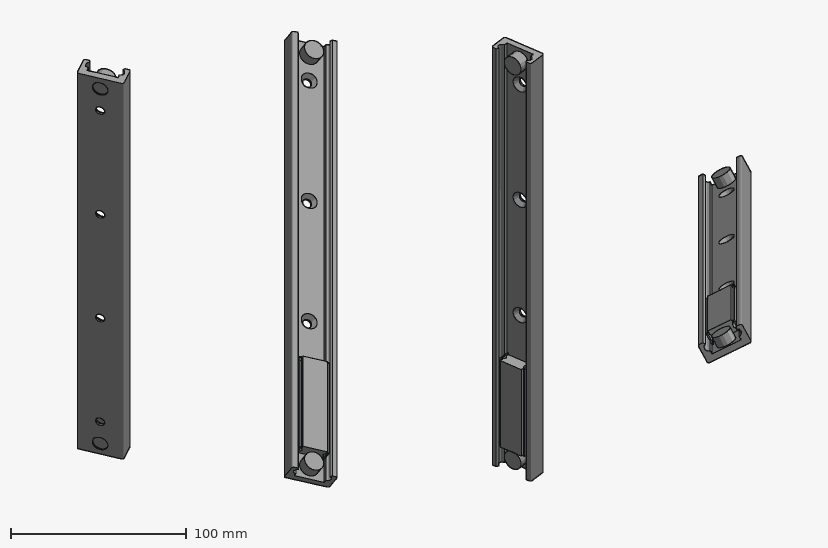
import cadquery as cq

rail_length = 290.0
rail_width = 28.0
rail_depth = 12.5
rail_floor = 4.0
edge_radius = 1.2
channel_half_width = 9.3

raceway_y = 8.7
rail_raceway_half_height = 2.3
rail_raceway_bottom = 11.5
lip_half_width = 10.0
lip_top_half_width = 10.7

hole_diameter = 5.5
countersink_diameter = 10.0
hole_straight_depth = 1.2
hole_pitch = 80.0
hole_count = 4

stop_shank_diameter = 9.3
stop_head_diameter = 12.0
stop_head_height = 7.0
stop_shank_recess = 1.0
stop_end_distance = 8.0

slider_length = 60.0
slider_bottom_z = 15.0
slider_half_width = 7.5
slider_front_y = 5.2
slider_back_y = 12.8
slider_raceway_half_height = 1.7
slider_raceway_bottom = 6.7

cage_thickness = 1.0
cage_middle_x = 8.7
cage_back_y = 12.0

stop_heights = (stop_end_distance, rail_length - stop_end_distance)


def cylinder_along_y(diameter, z, start_y, end_y):
    """Cylinder on the rail centre line, from start_y to end_y."""
    plane = cq.Plane(origin=(0, start_y, z), xDir=(1, 0, 0), normal=(0, 1, 0))
    return cq.Workplane(plane).circle(diameter / 2).extrude(end_y - start_y)


def make_hole_cutter(hole_z):
    """Plain bore that widens towards the channel floor."""
    bore = cylinder_along_y(hole_diameter, hole_z, 0, rail_floor)
    countersink = cq.Solid.makeCone(
        hole_diameter / 2,
        countersink_diameter / 2,
        rail_floor - hole_straight_depth,
        pnt=cq.Vector(0, hole_straight_depth, hole_z),
        dir=cq.Vector(0, 1, 0),
    )
    return bore.union(cq.Workplane(countersink))


def make_rail():
    half_width = rail_width / 2
    half_block = (
        cq.Workplane("XY")
        .moveTo(0, 0)
        .lineTo(half_width, 0)
        .lineTo(half_width, rail_depth)
        .lineTo(lip_top_half_width, rail_depth)
        .lineTo(lip_half_width, raceway_y + rail_raceway_half_height)
        .threePointArc(
            (rail_raceway_bottom, raceway_y),
            (channel_half_width, raceway_y - rail_raceway_half_height),
        )
        .lineTo(channel_half_width, rail_floor)
        .lineTo(0, rail_floor)
        .close()
        .extrude(rail_length)
    )
    half_rail = half_block.edges("|Z and >X").fillet(edge_radius)
    rail = half_rail.union(half_rail.mirror("YZ"))

    first_hole_z = (rail_length - hole_pitch * (hole_count - 1)) / 2
    for index in range(hole_count):
        hole_z = first_hole_z + index * hole_pitch
        rail = rail.cut(make_hole_cutter(hole_z))
    for stop_z in stop_heights:
        rail = rail.cut(cylinder_along_y(stop_shank_diameter, stop_z, 0, rail_floor))
    return rail


def make_stop(stop_z):
    shank = cylinder_along_y(stop_shank_diameter, stop_z, stop_shank_recess, rail_floor)
    head = cylinder_along_y(stop_head_diameter, stop_z, rail_floor, rail_floor + stop_head_height)
    return shank.union(head)


def make_slider():
    raceway_top = raceway_y + slider_raceway_half_height
    raceway_base = raceway_y - slider_raceway_half_height
    return (
        cq.Workplane("XY", origin=(0, 0, slider_bottom_z))
        .moveTo(-slider_half_width, slider_front_y)
        .lineTo(slider_half_width, slider_front_y)
        .lineTo(slider_half_width, raceway_base)
        .threePointArc((slider_raceway_bottom, raceway_y), (slider_half_width, raceway_top))
        .lineTo(slider_half_width, slider_back_y)
        .lineTo(-slider_half_width, slider_back_y)
        .lineTo(-slider_half_width, raceway_top)
        .threePointArc((-slider_raceway_bottom, raceway_y), (-slider_half_width, raceway_base))
        .close()
        .extrude(slider_length)
    )


def make_cage(side):
    """Strip on one side of the slider; side is -1 or 1."""
    return (
        cq.Workplane("XY", origin=(side * cage_middle_x, 0, slider_bottom_z))
        .moveTo(0, (rail_floor + cage_back_y) / 2)
        .rect(cage_thickness, cage_back_y - rail_floor)
        .extrude(slider_length)
    )


rail = make_rail()
slider = make_slider()
stops = [make_stop(stop_z) for stop_z in stop_heights]
cages = [make_cage(side) for side in (-1, 1)]

result = cq.Compound.makeCompound(
    [rail.val(), slider.val()]
    + [stop.val() for stop in stops]
    + [cage.val() for cage in cages]
)